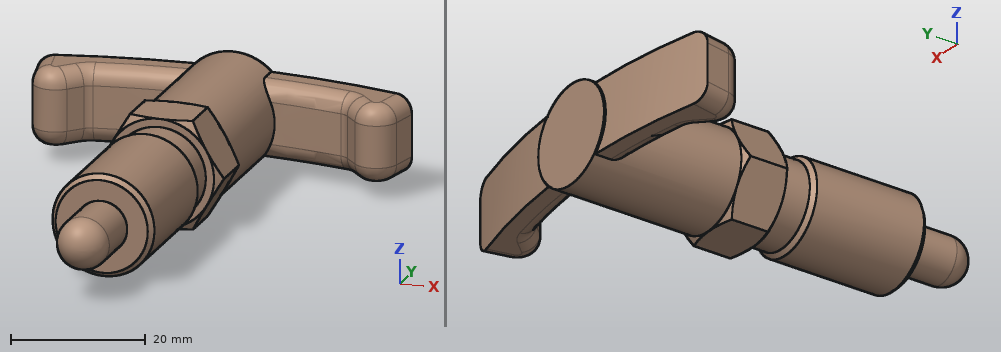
import cadquery as cq
import math


sleeve_end = 24.85
hex_end = 33.0
neck_end = 38.1
barrel_end = 59.0
pin_tip = 71.0

across_flats = 17.0
hex_chamfer_angle = 30.0
neck_radius = 7.25
barrel_radius = 8.0
barrel_chamfer = 0.8
pin_diameter = 8.0

sleeve_radius = across_flats / 2
bar_span = 59.0
bar_width = 12.15
bar_end_drop = 4.1
bar_thickness = 5.55
lobe_radius = 3.5
lobe_x = 25.2
lobe_depth = 7.8
lobe_flank_angle = 47.0
hollow_radius = 2.3
edge_radius = 2.8

bar_half_span = bar_span / 2
outer_radius = (bar_half_span**2 + bar_end_drop**2) / (2 * bar_end_drop)
inner_radius = outer_radius - bar_thickness


def mirrored(point):
    return (-point[0], point[1])


def lobe_point(angle):
    """Point on the right-hand lobe, with the angle in radians from +X."""
    return (lobe_x + lobe_radius * math.cos(angle), -lobe_depth + lobe_radius * math.sin(angle))


def bar_outline():
    """Symmetric bow with a lobe at each end, and the point of its right-hand hollow."""
    corner = (bar_half_span, -bar_end_drop)

    corner_dx = corner[0] - lobe_x
    corner_dy = corner[1] + lobe_depth
    corner_angle = math.atan2(corner_dy, corner_dx)
    end_angle = corner_angle - math.acos(lobe_radius / math.hypot(corner_dx, corner_dy))
    lobe_start = lobe_point(end_angle)

    flank = math.radians(lobe_flank_angle)
    flank_angle = -math.pi / 2 - flank
    lobe_end = lobe_point(flank_angle)
    lobe_middle = lobe_point((end_angle + flank_angle) / 2)
    start_x = lobe_end[0]
    start_y = lobe_end[1] + outer_radius
    along = -start_x * math.cos(flank) + start_y * math.sin(flank)
    squared_gap = inner_radius**2 - start_x**2 - start_y**2
    flank_length = -along + math.sqrt(along**2 + squared_gap)
    hollow = (
        lobe_end[0] - flank_length * math.cos(flank),
        lobe_end[1] + flank_length * math.sin(flank),
    )

    outline = (
        cq.Workplane("XY", origin=(0, 0, -bar_width / 2))
        .moveTo(*mirrored(corner))
        .threePointArc((0, 0), corner)
        .lineTo(*lobe_start)
        .threePointArc(lobe_middle, lobe_end)
        .lineTo(*hollow)
        .threePointArc((0, -bar_thickness), mirrored(hollow))
        .lineTo(*mirrored(lobe_end))
        .threePointArc(mirrored(lobe_middle), mirrored(lobe_start))
        .close()
    )
    return outline, hollow


def make_grip():
    """T-shaped grip: a bowed bar merged with a cylindrical sleeve."""
    outline, hollow = bar_outline()
    bar = outline.extrude(bar_width)

    for x, y in (hollow, mirrored(hollow)):
        bar = bar.edges(cq.selectors.NearestToPointSelector((x, y, 0))).fillet(hollow_radius)

    rims = bar.faces("|Z").edges()
    outer_arcs = bar.faces(cq.selectors.NearestToPointSelector((0, 0, 0))).edges().vals()
    rims = rims.filter(lambda edge: not any(edge.isSame(arc) for arc in outer_arcs))
    bar = rims.fillet(edge_radius)

    sleeve = cq.Workplane("XZ").circle(sleeve_radius).extrude(sleeve_end)
    return bar.union(sleeve)


def make_hexagon():
    """Hexagon with its corners chamfered conically at both ends."""
    length = hex_end - sleeve_end
    face_radius = across_flats / 2
    corner_radius = face_radius / math.cos(math.pi / 6)
    chamfer_depth = (corner_radius - face_radius) * math.tan(math.radians(hex_chamfer_angle))
    prism = (
        cq.Workplane("XZ", origin=(0, -sleeve_end, 0))
        .polygon(6, 2 * corner_radius)
        .extrude(length)
    )
    envelope = (
        cq.Workplane("XZ", origin=(0, -sleeve_end, 0))
        .circle(corner_radius)
        .extrude(length)
        .faces("<Y or >Y")
        .edges()
        .chamfer(chamfer_depth, corner_radius - face_radius)
    )
    return prism.intersect(envelope)


def make_plunger():
    """Hexagon, neck, chamfered barrel and round-nosed pin in one piece."""
    pin_radius = pin_diameter / 2
    pin_shoulder = pin_tip - pin_radius
    nose_offset = pin_radius * math.sqrt(0.5)
    shaft = (
        cq.Workplane("XY")
        .moveTo(0, -hex_end)
        .lineTo(neck_radius, -hex_end)
        .lineTo(neck_radius, -neck_end)
        .lineTo(barrel_radius, -neck_end - barrel_chamfer)
        .lineTo(barrel_radius, -barrel_end + barrel_chamfer)
        .lineTo(barrel_radius - barrel_chamfer, -barrel_end)
        .lineTo(pin_radius, -barrel_end)
        .lineTo(pin_radius, -pin_shoulder)
        .threePointArc((nose_offset, -pin_shoulder - nose_offset), (0, -pin_tip))
        .close()
        .revolve(360, (0, 0, 0), (0, 1, 0))
    )
    return make_hexagon().union(shaft)


grip = make_grip()
plunger = make_plunger()
result = cq.Compound.makeCompound([grip.val(), plunger.val()])